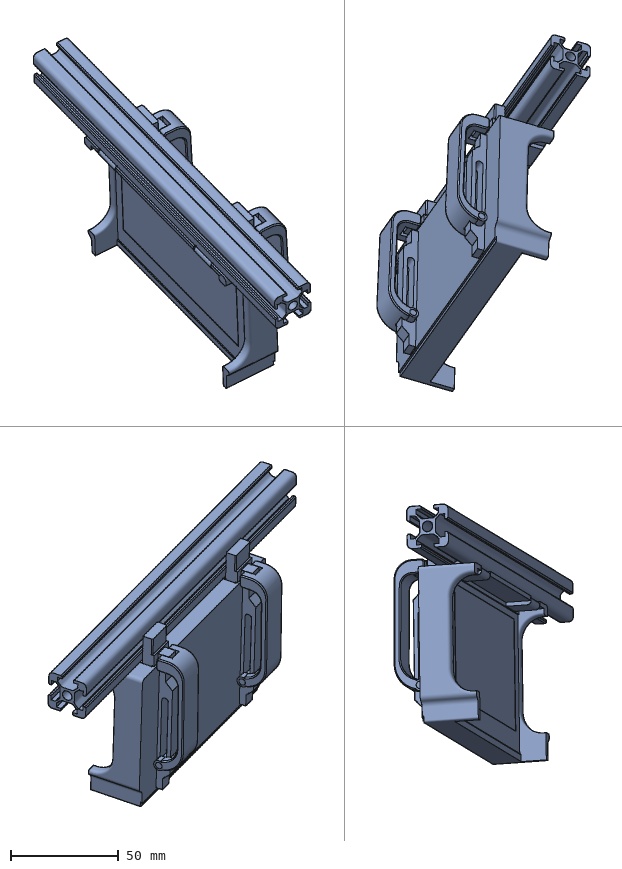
import cadquery as cq
import math

overall_width = 200.7
tilt_angle = 2.8

rail_size = 20.0
rail_half = rail_size / 2
tilt = math.radians(tilt_angle)
rail_length = (overall_width - rail_size * math.sin(tilt)) / math.cos(tilt)
rail_corner_radius = 2.5
rail_bore_diameter = 5.0
slot_mouth_half = 3.0
slot_mouth_chamfer = 0.6
slot_lip = 1.6
slot_inner_half = 5.5
slot_shoulder_depth = 3.8
slot_depth = 6.2
slot_floor_radius = 2.0
slot_floor_half = slot_inner_half - (slot_depth - slot_shoulder_depth)

frame_half_width = 58.6
frame_top = -rail_half
frame_bottom = -84.0
frame_front = -rail_half
frame_back = 16.5
frame_corner_radius = 2.0
foot_half_width = 55.8
step_top = -71.7
step_bottom = -76.5
foot_corner_radius = 0.8
rim_y = 2.2
rim_round = 1.5
rim_inner_round = 1.0
lug_bottom = -15.3
foot_top = -70.9
scoop_radius = 10.8
top_bar_bottom = -12.2
selection_margin = 0.2
back_panel_thickness = 0.8
back_panel_y = frame_back + back_panel_thickness
back_panel_bottom = -81.7

display_half_width = 53.0
display_top = -14.3
display_bottom = -80.5
display_front = 2.8
display_thickness = 4.0
screen_left = -48.2
screen_right = 47.2
screen_top = -17.5
screen_bottom = -70.5
screen_recess = 0.2

hanger_width = 13.6
hanger_positions = [-40.1, 39.1]
bracket_thickness = 5.2
bracket_top = 5.0
bracket_chamfer = 0.6
bracket_y = rail_half + bracket_thickness
base_bottom = -14.0
base_thickness = frame_top - base_bottom
base_side_gap = 0.5
slot_key_half = 2.8
slot_key_height = 3.2
hinge_block_y = 16.3
hinge_block_top = -3.8
tongue_width = 6.5
tongue_top = -4.8
tongue_bottom = -9.8
tongue_end = 22.0

rib_width = tongue_width
rib_top = -11.8
rib_bottom = -80.5
rib_step_y = 20.7
rib_y = 24.5
rib_step_top = -19.3
rib_step_bottom = -74.3
rib_slope = rib_y - rib_step_y
rib_slot_top = -28.5

pivot_y = 20.7
pivot_z = -64.2
pin_diameter = 3.5
boss_diameter = 5.5

arm_width = 14.9
arm_back = 33.1
arm_inner = 30.0
arm_lean = 0.6
arm_root = 17.7
arm_root_radius = 1.6
arm_top = -4.6
arm_underside = -11.5
arm_outer_radius = 8.8
arm_inner_radius = 5.6
arm_outer_bend_top = -53.4
arm_inner_bend_top = -51.4
arm_inner_bend_radius = 10.0
arm_outer_tip = (23.0, -66.5)
arm_inner_tip = (22.9, -61.0)
arm_tip_top = -62.0
arm_edge_chamfer = 0.6
tongue_end_gap = 1.8
arm_fork_y = rib_y + 0.6


def box(x0, x1, y0, y1, z0, z1):
    """Axis-aligned block between the given limits."""
    return cq.Workplane("XY").box(x1 - x0, y1 - y0, z1 - z0, centered=False).translate((x0, y0, z0))


def along_x(width, centre=0.0):
    """Workplane for (Y, Z) outlines that are extruded by `width` about x = centre."""
    return cq.Workplane("YZ", origin=(centre - width / 2, 0, 0))


def make_rail():
    """Square extrusion with a centre bore and the same undercut slot in all four sides."""
    rail = along_x(rail_length).rect(rail_size, rail_size).extrude(rail_length)
    rail = rail.edges("|X").fillet(rail_corner_radius)
    rail = rail.cut(along_x(rail_length).circle(rail_bore_diameter / 2).extrude(rail_length))
    half_outline = [
        (slot_mouth_half + slot_mouth_chamfer, rail_half),
        (slot_mouth_half, rail_half - slot_mouth_chamfer),
        (slot_mouth_half, rail_half - slot_lip),
        (slot_inner_half, rail_half - slot_lip),
        (slot_inner_half, rail_half - slot_shoulder_depth),
        (slot_floor_half, rail_half - slot_depth),
    ]
    outline = half_outline + [(-y, z) for y, z in reversed(half_outline)]
    slot = along_x(rail_length).polyline(outline).close().extrude(rail_length)
    slot = slot.edges("|X and <Z").fillet(slot_floor_radius)
    for turn in range(4):
        rail = rail.cut(slot.rotate((0, 0, 0), (1, 0, 0), 90 * turn))
    return rail


def frame_block(front, back, bottom):
    """Block with the frame's front silhouette: wide above, stepped in at the feet."""
    step_x = (frame_half_width + foot_half_width) / 2
    step_z = (step_top + step_bottom) / 2
    block = (
        cq.Workplane("XZ", origin=(0, back, 0))
        .moveTo(0, frame_top)
        .lineTo(frame_half_width, frame_top)
        .lineTo(frame_half_width, step_top)
        .tangentArcPoint((step_x, step_z), relative=False)
        .tangentArcPoint((foot_half_width, step_bottom), relative=False)
        .lineTo(foot_half_width, bottom)
        .lineTo(0, bottom)
        .close()
        .extrude(back - front)
    )
    block = block.union(block.mirror("YZ"))
    block = block.edges("|Y").edges(">Z").fillet(frame_corner_radius)
    return block.edges("|Y").edges("<Z").fillet(foot_corner_radius)


def front_scoop():
    """Space in front of the rim, with a quarter round under each lug and above each foot."""
    width = 2 * frame_half_width
    arc_end_y = rim_y - scoop_radius
    clear_y = 2 * frame_front
    return (
        along_x(width)
        .moveTo(clear_y, lug_bottom)
        .lineTo(arc_end_y, lug_bottom)
        .radiusArc((rim_y, lug_bottom - scoop_radius), scoop_radius)
        .lineTo(rim_y, foot_top + scoop_radius)
        .radiusArc((arc_end_y, foot_top), scoop_radius)
        .lineTo(clear_y, foot_top)
        .close()
        .extrude(width)
    )


def make_rib(centre):
    """Rib on the back panel with a long slot that ends at the latch pin."""
    rib = (
        along_x(rib_width, centre)
        .polyline([
            (frame_back, rib_top),
            (rib_step_y, rib_top),
            (rib_step_y, rib_step_top),
            (rib_y, rib_step_top - rib_slope),
            (rib_y, rib_step_bottom + rib_slope),
            (rib_step_y, rib_step_bottom),
            (rib_step_y, rib_bottom),
            (frame_back, rib_bottom),
        ])
        .close()
        .extrude(rib_width)
    )
    slot_length = rib_slot_top - pivot_z + pin_diameter / 2
    slot_centre_z = rib_slot_top - slot_length / 2
    slot = (
        along_x(rib_width, centre)
        .center(pivot_y, slot_centre_z)
        .slot2D(slot_length, pin_diameter, 90)
        .extrude(rib_width)
    )
    return rib.cut(slot)


def round_rim(frame):
    """Round the outer and inner front edges of the two side walls."""
    limit_y = (frame_front + rim_round, rim_y + rim_round)
    limit_z = (foot_top - rim_round / 2, lug_bottom + rim_round)
    outer = cq.selectors.BoxSelector((-overall_width, limit_y[0], limit_z[0]),
                                     (overall_width, limit_y[1], limit_z[1]))
    frame = frame.faces("<X or >X").edges(outer).fillet(rim_round)
    for side in (-1, 1):
        inner_x = side * display_half_width
        inner = cq.selectors.BoxSelector((inner_x - selection_margin, limit_y[0], limit_z[0]),
                                         (inner_x + selection_margin, limit_y[1], limit_z[1]))
        frame = frame.edges(inner).fillet(rim_inner_round)
    return frame


def make_frame():
    """Frame with side walls, top bar, feet, back panel, bracket notches and slotted ribs."""
    frame = frame_block(frame_front, frame_back, frame_bottom).cut(front_scoop())
    frame = frame.cut(box(-display_half_width, display_half_width, 2 * frame_front, rim_y,
                          2 * frame_bottom, top_bar_bottom))
    frame = frame.cut(box(-display_half_width, display_half_width, frame_front, frame_back,
                          display_bottom, display_top))
    frame = round_rim(frame)
    frame = frame.union(frame_block(frame_back, back_panel_y, back_panel_bottom))
    for centre in hanger_positions:
        notch_half = hanger_width / 2 + base_side_gap
        frame = frame.cut(box(centre - notch_half, centre + notch_half, frame_front, bracket_y,
                              base_bottom, frame_top))
        frame = frame.union(make_rib(centre))
    return frame


def make_display():
    """Display panel with a slightly recessed screen area."""
    display = box(-display_half_width, display_half_width, display_front,
                  display_front + display_thickness, display_bottom, display_top)
    return display.cut(box(screen_left, screen_right, display_front, display_front + screen_recess,
                           screen_bottom, screen_top))


def make_bracket(centre):
    """Plate behind the rail, a base under it with a rolled front edge, a slot key and a hinge tongue."""
    left = centre - hanger_width / 2
    right = centre + hanger_width / 2
    plate = box(left, right, rail_half, bracket_y, base_bottom, bracket_top)
    plate = plate.edges(">Y and |Z").chamfer(bracket_chamfer)
    nose_radius = base_thickness / 2
    base = (
        along_x(hanger_width, centre)
        .moveTo(bracket_y, frame_top)
        .lineTo(frame_front + nose_radius, frame_top)
        .threePointArc((frame_front, frame_top - nose_radius), (frame_front + nose_radius, base_bottom))
        .lineTo(bracket_y, base_bottom)
        .close()
        .extrude(hanger_width)
    )
    block = box(left, right, rail_half, hinge_block_y, frame_top, hinge_block_top)
    key = box(left, right, -slot_key_half, slot_key_half, frame_top, frame_top + slot_key_height)
    tongue = box(centre - tongue_width / 2, centre + tongue_width / 2, rail_half, tongue_end,
                 tongue_bottom, tongue_top)
    return plate.union(base).union(block).union(key).union(tongue)


def make_arm(centre):
    """C-shaped latch arm, forked over the bracket tongue at the top and over the rib at the pin."""
    upper_back = arm_back - arm_lean
    upper_inner = arm_inner - arm_lean
    arm = (
        along_x(arm_width, centre)
        .moveTo(arm_root, arm_top)
        .lineTo(upper_back - arm_outer_radius, arm_top)
        .radiusArc((upper_back, arm_top - arm_outer_radius), arm_outer_radius)
        .lineTo(arm_back, arm_outer_bend_top)
        .tangentArcPoint(arm_outer_tip, relative=False)
        .lineTo(pivot_y, arm_outer_tip[1])
        .lineTo(pivot_y, arm_tip_top)
        .lineTo(*arm_inner_tip)
        .radiusArc((arm_inner, arm_inner_bend_top), -arm_inner_bend_radius)
        .lineTo(upper_inner, arm_underside - arm_inner_radius)
        .radiusArc((upper_inner - arm_inner_radius, arm_underside), -arm_inner_radius)
        .lineTo(arm_root, arm_underside)
        .close()
        .extrude(arm_width)
    )
    arm = arm.edges("|X and <Y").fillet(arm_root_radius)
    arm = arm.faces("<X or >X").chamfer(arm_edge_chamfer)
    boss = along_x(arm_width, centre).center(pivot_y, pivot_z).circle(boss_diameter / 2)
    arm = arm.union(boss.extrude(arm_width))
    half = tongue_width / 2
    arm = arm.cut(box(centre - half, centre + half, 0, tongue_end + tongue_end_gap, 2 * arm_underside, 0))
    half = rib_width / 2
    arm = arm.cut(box(centre - half, centre + half, 0, arm_fork_y, 2 * pivot_z, 2 * arm_underside))
    return arm.cut(make_pin(centre))


def make_pin(centre):
    """Latch pin through the arm's boss and the end of the rib slot."""
    pin = along_x(arm_width, centre).center(pivot_y, pivot_z).circle(pin_diameter / 2)
    return pin.extrude(arm_width)


bodies = [make_rail(), make_frame(), make_display()]
for hanger_x in hanger_positions:
    bodies += [make_bracket(hanger_x), make_arm(hanger_x), make_pin(hanger_x)]

tilted = [body.rotate((0, 0, 0), (0, 1, 0), -tilt_angle) for body in bodies]
result = cq.Compound.makeCompound([solid for body in tilted for solid in body.vals()])